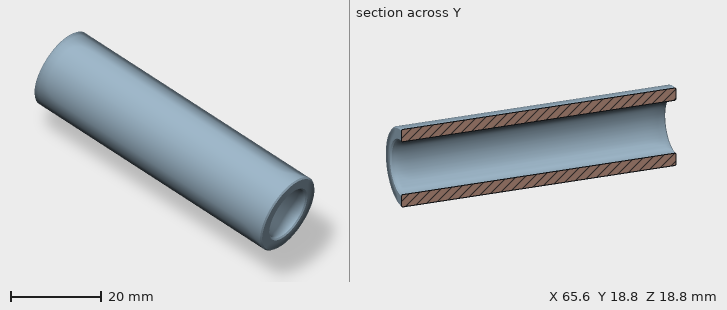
import cadquery as cq

length = 65.6
outer_diameter = 18.8
bore_diameter = 12.6

outer_chamfer = 0.3
bore_chamfer = 0.3

outer_radius = outer_diameter / 2
bore_radius = bore_diameter / 2
half_length = length / 2


def wall_profile():
    """Half section of the tube wall: X along the axis, Y as the radius."""
    return (
        cq.Workplane("XY")
        .moveTo(-half_length, bore_radius + bore_chamfer)
        .lineTo(-half_length, outer_radius - outer_chamfer)
        .lineTo(-half_length + outer_chamfer, outer_radius)
        .lineTo(half_length - outer_chamfer, outer_radius)
        .lineTo(half_length, outer_radius - outer_chamfer)
        .lineTo(half_length, bore_radius + bore_chamfer)
        .lineTo(half_length - bore_chamfer, bore_radius)
        .lineTo(-half_length + bore_chamfer, bore_radius)
        .close()
    )


result = wall_profile().revolve(360, (0, 0, 0), (1, 0, 0))